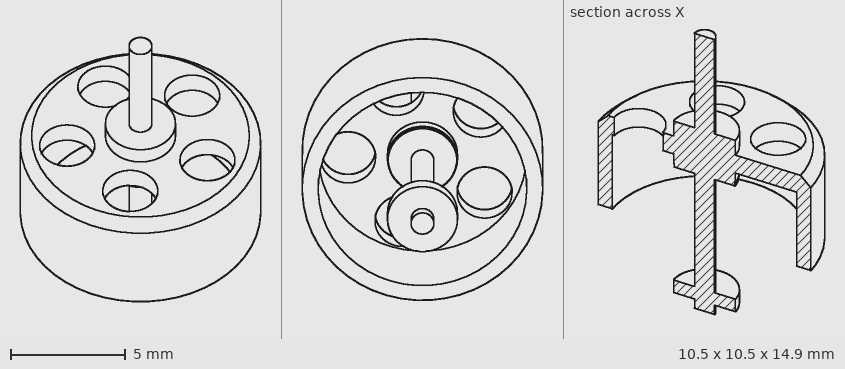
import cadquery as cq

bell_diameter = 10.5
bell_height = 5.0
bell_chamfer = 0.5
cavity_diameter = 9.1
roof_thickness = 1.0

vent_count = 5
vent_diameter = 2.4
vent_circle_radius = 3.25
first_vent_angle = 90

shaft_diameter = 1.0
shaft_length = 14.9
shaft_above_collar = 5.1
collar_diameter = 3.06
collar_height = 0.8
ring_thickness = 0.7
shaft_below_ring = 0.5

hub_height = 0.5
spacer_diameter = 3.0
spacer_height = 0.2

roof_underside = bell_height - roof_thickness
hub_step = roof_underside - hub_height
collar_top = bell_height + collar_height
shaft_bottom = collar_top + shaft_above_collar - shaft_length
ring_bottom = shaft_bottom + shaft_below_ring


def cylinder(diameter, bottom, height):
    """Solid cylinder on the Z axis, standing on the level `bottom`."""
    return cq.Workplane("XY").workplane(offset=bottom).circle(diameter / 2).extrude(height)


def make_bell():
    """Chamfered cup with a ring of vents in its roof."""
    shell = cylinder(bell_diameter, 0, bell_height).edges(">Z").chamfer(bell_chamfer)
    shell = shell.cut(cylinder(cavity_diameter, 0, roof_underside))
    vents = (
        cq.Workplane("XY")
        .workplane(offset=roof_underside)
        .polarArray(vent_circle_radius, first_vent_angle, 360, vent_count)
        .circle(vent_diameter / 2)
        .extrude(roof_thickness)
    )
    return shell.cut(vents)


def make_shaft():
    """Shaft carrying the upper collar and the lower retaining ring."""
    shaft = cylinder(shaft_diameter, shaft_bottom, shaft_length)
    collar = cylinder(collar_diameter, bell_height, collar_height)
    ring = cylinder(collar_diameter, ring_bottom, ring_thickness)
    return shaft.union(collar).union(ring)


def make_hub():
    """Stepped boss hanging from the roof inside the cavity, around the shaft."""
    boss = cylinder(collar_diameter, hub_step, hub_height)
    spacer = cylinder(spacer_diameter, hub_step - spacer_height, spacer_height)
    return boss.union(spacer)


result = make_bell().union(make_hub()).union(make_shaft())